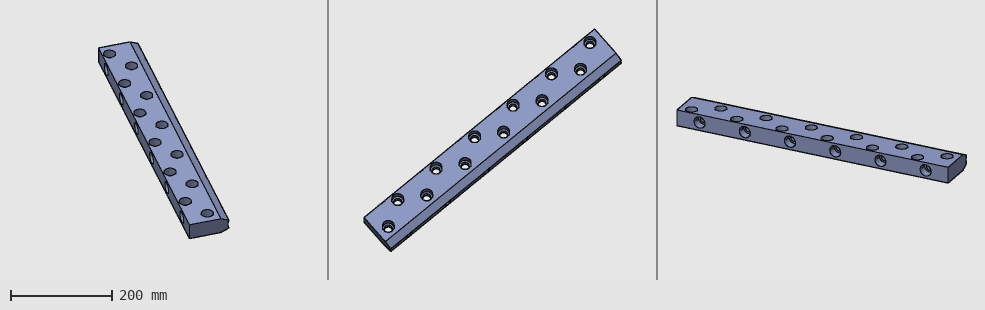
import cadquery as cq

length = 599.5
width = 82.0
height = 35.0
flank_run = 17.0
flank_drop = 8.0

groove_depth = 2.0

hole_count = 6
hole_pitch = length / hole_count
bore_diameter = 16.0
counterbore_diameter = 24.0
counterbore_depth = 20.0

front_row_y = 15.0
rear_row_y = 45.0
front_row_start = hole_pitch / 4
side_row_start = hole_pitch / 2
rear_row_start = 3 * hole_pitch / 4


def bar():
    """Constant-section bar with two sloped flanks leading to a grooved nose."""
    middle = height / 2
    flank_start = width - flank_run
    profile = (
        cq.Workplane("YZ")
        .moveTo(0, 0)
        .lineTo(flank_start, 0)
        .lineTo(width, flank_drop)
        .threePointArc((width - groove_depth, middle), (width, height - flank_drop))
        .lineTo(flank_start, height)
        .lineTo(0, height)
        .close()
    )
    return profile.extrude(length)


def row_positions(start):
    """X positions of one row of holes."""
    return [start + i * hole_pitch for i in range(hole_count)]


def counterbored_hole(entry, direction, through_length):
    """Through hole with a counterbore at its entry point."""
    bore = cq.Solid.makeCylinder(bore_diameter / 2, through_length, entry, direction)
    counterbore = cq.Solid.makeCylinder(counterbore_diameter / 2, counterbore_depth, entry, direction)
    return bore.fuse(counterbore)


result = bar()

for row_start, row_y in ((front_row_start, front_row_y), (rear_row_start, rear_row_y)):
    for x in row_positions(row_start):
        result = result.cut(counterbored_hole(cq.Vector(x, row_y, height), cq.Vector(0, 0, -1), height))

for x in row_positions(side_row_start):
    result = result.cut(counterbored_hole(cq.Vector(x, 0, height / 2), cq.Vector(0, 1, 0), width))